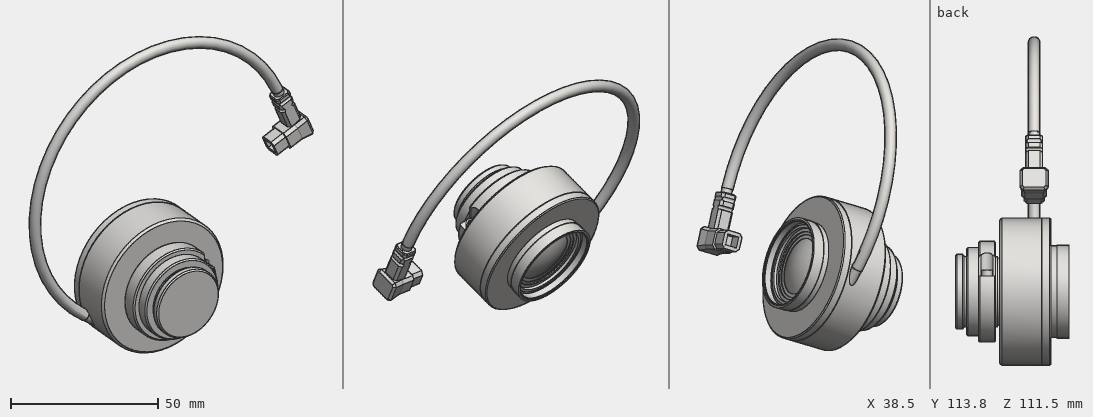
import cadquery as cq
import math


BARREL_D = 31.6
BARREL_STEP_D = 31.2
HOUSING_D = 50.0
NECK_D = 23.0
NECK_COLLAR_D = 24.0
RING_D = 34.2
FLANGE_D = 30.0
UNDERCUT_D = 24.0
MOUNT_D = 25.4

BARREL_STEP_X = 4.1
HOUSING_X = 6.15
SEAM_X = 9.2
HOUSING_END_X = 23.6
NECK_COLLAR_X = 24.3
RING_X = 24.85
FLANGE_X = 30.75
UNDERCUT_X = 34.75
MOUNT_X = 35.65
MOUNT_END_X = 38.51

RIM_CHAMFER_LENGTH = 0.6
RIM_CHAMFER_DEPTH = 0.1
HOUSING_FRONT_CHAMFER = 0.4
HOUSING_REAR_CHAMFER = 0.8
REAR_CHAMFER = 0.5
SEAM_WIDTH = 0.12
SEAM_DEPTH = 0.1

BORE_STEPS = [(30.0, 0.4), (29.2, 2.7), (28.0, 2.9), (26.1, 4.0), (23.9, 4.5), (22.0, 4.8)]
LENS_D = 19.5
LENS_RECESS = 5.0
LENS_RISE = 2.1

SCREW_Y = 13.5
SCREW_SEAT_Z = 5.3
SCREW_WALL_Y = 11.9
SCREW_POCKET_D = 5.2
SCREW_HEAD_D = 3.7
SCREW_HEAD_HEIGHT = 2.0
SCREW_SOCKET_D = 2.5
SCREW_SOCKET_DEPTH = 1.0

CABLE_X = 11.85
CABLE_D = 4.0
STUB_D = 3.7
CABLE_BEND_R = 52.0
CABLE_BEND_CENTER = (7.2, 32.47)
CABLE_END_ANGLE = 24.1
CABLE_START_ANGLE = 232.7
STUB_LENGTH = 6.0

PLUG_ORIGIN = (61.7, 36.95)
PLUG_TILT = 22.5
NECK_SIDE = 5.8
NECK_CHAMFER = 0.95
NECK_TOP = 16.5
NECK_TOP_CHAMFER = 0.35
CABLE_END = 18.2
GROOVE_CENTER = 14.2
GROOVE_WIDTH = 1.4
GROOVE_DEPTH = 0.45
NOTCH_CENTER = 11.15
NOTCH_WIDTH = 1.3
NOTCH_DEPTH = 1.45
HEAD_START = -4.3
MIDDLE_START = 0.65
TIP_START = 5.7
TIP_END = 10.8
HEAD_HEIGHT, HEAD_WIDTH = 8.6, 9.85
MIDDLE_HEIGHT, MIDDLE_WIDTH = 7.2, 8.45
TIP_HEIGHT, TIP_WIDTH = 6.4, 7.0
PLUG_CHAMFER = 1.15
HEAD_END_CHAMFER = 0.92
SOCKET_WALL = 1.3
SOCKET_DEPTH = 4.0


def x_cylinder(diameter, start, end):
    return cq.Workplane("YZ", origin=(start, 0, 0)).circle(diameter / 2).extrude(end - start)


def arc_radius(chord, rise):
    """Radius of the arc with the given chord and rise."""
    return (chord ** 2 / 4 + rise ** 2) / (2 * rise)


def make_housing():
    barrel = x_cylinder(BARREL_D, 0, BARREL_STEP_X)
    barrel = barrel.faces("<X").chamfer(RIM_CHAMFER_DEPTH, RIM_CHAMFER_LENGTH)
    barrel = barrel.union(x_cylinder(BARREL_STEP_D, BARREL_STEP_X, HOUSING_X))
    drum = x_cylinder(HOUSING_D, HOUSING_X, HOUSING_END_X)
    drum = drum.faces("<X").chamfer(HOUSING_FRONT_CHAMFER).faces(">X").chamfer(HOUSING_REAR_CHAMFER)
    seam = x_cylinder(HOUSING_D, SEAM_X, SEAM_X + SEAM_WIDTH)
    seam = seam.cut(x_cylinder(HOUSING_D - 2 * SEAM_DEPTH, SEAM_X, SEAM_X + SEAM_WIDTH))
    neck = x_cylinder(NECK_D, HOUSING_END_X, NECK_COLLAR_X)
    collar = x_cylinder(NECK_COLLAR_D, NECK_COLLAR_X, RING_X)
    ring = make_locking_ring()
    flange = x_cylinder(FLANGE_D, FLANGE_X, UNDERCUT_X).faces(">X").chamfer(REAR_CHAMFER)
    undercut = x_cylinder(UNDERCUT_D, UNDERCUT_X, MOUNT_X)
    mount = x_cylinder(MOUNT_D, MOUNT_X, MOUNT_END_X).faces("<X or >X").chamfer(REAR_CHAMFER)
    housing = barrel.union(drum.cut(seam))
    for section in (neck, collar, ring, flange, undercut, mount):
        housing = housing.union(section)
    return housing


def make_locking_ring():
    ring = x_cylinder(RING_D, RING_X, FLANGE_X).faces("<X or >X").chamfer(REAR_CHAMFER)
    width = FLANGE_X - RING_X
    middle_x = RING_X + width / 2
    seat = cq.Workplane("XY", origin=(middle_x, SCREW_Y, SCREW_SEAT_Z))
    flat = (
        cq.Workplane("XY")
        .box(width, RING_D, RING_D, centered=(True, False, False))
        .translate((middle_x, SCREW_WALL_Y, SCREW_SEAT_Z))
    )
    pocket = seat.circle(SCREW_POCKET_D / 2).extrude(RING_D)
    head = seat.circle(SCREW_HEAD_D / 2).extrude(SCREW_HEAD_HEIGHT)
    socket = (
        seat.workplane(offset=SCREW_HEAD_HEIGHT - SCREW_SOCKET_DEPTH)
        .polygon(6, SCREW_SOCKET_D)
        .extrude(SCREW_SOCKET_DEPTH)
    )
    ring = ring.cut(flat).cut(pocket)
    return ring.union(head.cut(socket))


def cut_front_bore(body):
    for diameter, depth in BORE_STEPS:
        body = body.cut(x_cylinder(diameter, 0, depth))
    body = body.cut(x_cylinder(LENS_D, 0, LENS_RECESS))
    lens = (
        cq.Workplane("XY")
        .moveTo(LENS_RECESS, 0)
        .lineTo(LENS_RECESS, LENS_D / 2)
        .radiusArc((LENS_RECESS - LENS_RISE, 0), -arc_radius(LENS_D, LENS_RISE))
        .close()
        .revolve(360, (0, 0, 0), (1, 0, 0))
    )
    return body.union(lens)


def bend_point(angle):
    turn = math.radians(angle)
    y = CABLE_BEND_CENTER[0] + CABLE_BEND_R * math.cos(turn)
    z = CABLE_BEND_CENTER[1] + CABLE_BEND_R * math.sin(turn)
    return (y, z)


def make_cable():
    start = bend_point(CABLE_START_ANGLE)
    middle = bend_point((CABLE_START_ANGLE + CABLE_END_ANGLE) / 2)
    end = bend_point(CABLE_END_ANGLE)
    turn = math.radians(CABLE_START_ANGLE)
    tangent = (math.sin(turn), -math.cos(turn))
    path = cq.Workplane("YZ", origin=(CABLE_X, 0, 0)).moveTo(*start).threePointArc(middle, end)
    profile = cq.Plane(origin=(CABLE_X, *start), xDir=(1, 0, 0), normal=(0, *tangent))
    cable = cq.Workplane(profile).circle(CABLE_D / 2).sweep(path)
    stub = cq.Workplane(profile).circle(STUB_D / 2).extrude(-STUB_LENGTH)
    return cable.union(stub)


def octagon(height, width):
    y = height / 2
    z = width / 2
    c = PLUG_CHAMFER
    return [
        (y, z - c), (y - c, z), (c - y, z), (-y, z - c),
        (-y, c - z), (c - y, -z), (y - c, -z), (y, c - z),
    ]


def plug_section(along, height, width):
    return cq.Workplane("YZ", origin=(along, 0, 0)).polyline(octagon(height, width)).close()


def make_plug():
    head = (
        plug_section(HEAD_START, HEAD_HEIGHT, HEAD_WIDTH)
        .workplane(offset=MIDDLE_START - HEAD_START)
        .polyline(octagon(MIDDLE_HEIGHT, MIDDLE_WIDTH))
        .close()
        .loft(ruled=True)
        .faces("<X")
        .chamfer(HEAD_END_CHAMFER)
    )
    middle = plug_section(MIDDLE_START, MIDDLE_HEIGHT, MIDDLE_WIDTH).extrude(TIP_START - MIDDLE_START)
    tip = plug_section(TIP_START, TIP_HEIGHT, TIP_WIDTH).extrude(TIP_END - TIP_START)
    socket = (
        cq.Workplane("YZ", origin=(TIP_END - SOCKET_DEPTH, 0, 0))
        .rect(TIP_HEIGHT - 2 * SOCKET_WALL, TIP_WIDTH - 2 * SOCKET_WALL)
        .extrude(SOCKET_DEPTH)
    )
    plug = head.union(middle).union(tip).cut(socket).union(make_plug_neck())
    plug = plug.rotate((0, 0, 0), (1, 0, 0), 90).rotate((0, 0, 0), (0, 0, 1), -90)
    plug = plug.rotate((0, 0, 0), (1, 0, 0), PLUG_TILT)
    return plug.translate((CABLE_X, *PLUG_ORIGIN))


def make_plug_neck():
    neck = cq.Workplane("XZ").rect(NECK_SIDE, NECK_SIDE).extrude(-NECK_TOP)
    neck = neck.edges("|Y").chamfer(NECK_CHAMFER).faces(">Y").chamfer(NECK_TOP_CHAMFER)
    groove_r = arc_radius(GROOVE_WIDTH, GROOVE_DEPTH)
    groove_offset = NECK_SIDE / 2 - GROOVE_DEPTH + groove_r
    groove = (
        cq.Workplane("XY", origin=(groove_offset, GROOVE_CENTER, 0))
        .circle(groove_r)
        .extrude(NECK_SIDE, both=True)
    )
    for quarter in range(4):
        neck = neck.cut(groove.rotate((0, 0, 0), (0, 1, 0), 90 * quarter))
    for side in (-1, 1):
        notch = (
            cq.Workplane("XY", origin=(side * NECK_SIDE / 2, NOTCH_CENTER, 0))
            .slot2D(2 * NOTCH_DEPTH, NOTCH_WIDTH)
            .extrude(NECK_SIDE, both=True)
        )
        neck = neck.cut(notch)
    stub = cq.Workplane("XZ", origin=(0, NECK_TOP, 0)).circle(STUB_D / 2).extrude(NECK_TOP - CABLE_END)
    return neck.union(stub)


result = cut_front_bore(make_housing()).union(make_cable()).union(make_plug())